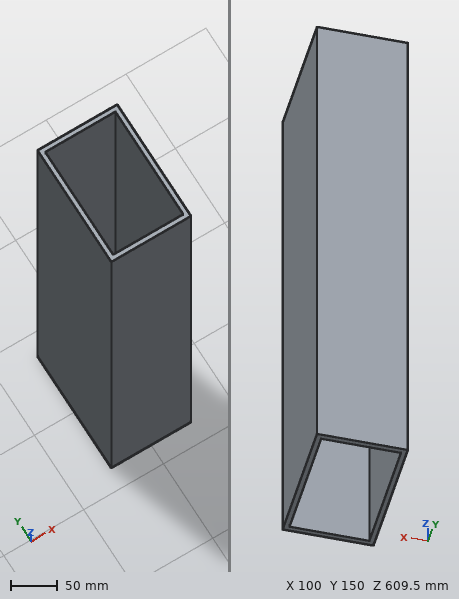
import cadquery as cq

width = 100.0
depth = 150.0
height = 609.5
wall = 6.0

outer = cq.Workplane("XY").box(width, depth, height)
bore = cq.Workplane("XY").box(width - 2 * wall, depth - 2 * wall, height)

result = outer.cut(bore)